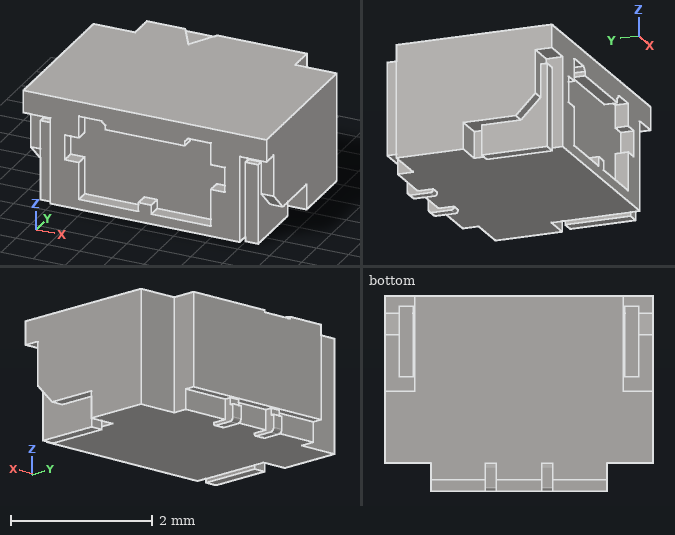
import cadquery as cq
import math


WIDTH = 3.80
HEIGHT = 1.70
TOTAL_DEPTH = 2.77
TAIL_DEPTH = 0.40
TAIL_WIDTH = 2.50
MAIN_DEPTH = TOTAL_DEPTH - TAIL_DEPTH

TAIL_STEP_DEPTH = 0.16
TAIL_STEP_HEIGHT = 0.30

MARK_X = -0.40
MARK_WIDTH = 0.50
MARK_LENGTH = MARK_WIDTH * math.sin(math.radians(60))
MARK_DEPTH = 0.03

RECESS_DEPTH = 0.20
RECESS_HALF_WIDTH = 1.03
RECESS_FLOOR = 0.16
RECESS_TOP = 1.47
EAR_HALF_WIDTH = 1.25
EAR_BOTTOM = 0.74
EAR_TOP = 1.13
LIP_HALF_WIDTH = 0.62
LIP_BOTTOM = 1.345
LIP_CHAMFER = 0.06
KEY_WIDTH = 0.20
KEY_TOP = 0.30

POCKET_INNER_X = 1.48
POCKET_TOP = 1.35
POCKET_WALL_Y = 0.25
POCKET_REAR_Y = 1.35
POCKET_LOW_TOP = 0.40
POCKET_SLOPE = 0.30

STANDOFF = 0.05

PLATE_INNER_X = 1.50
PLATE_THICKNESS = 0.20
PLATE_FRONT_Y = 0.15
PLATE_REAR_Y = 1.15
PLATE_TOP = 1.20

CONTACT_X = 0.40
CONTACT_WIDTH = 0.16
CONTACT_FRONT_Y = 2.375
CONTACT_NECK_Y = 2.72
CONTACT_SHOULDER_Z = 0.20
CONTACT_REAR_RADIUS = 0.06
CONTACT_FRONT_RADIUS = 0.045


def block(x_range, y_range, z_range):
    """Box between the given limits along each axis."""
    size = [high - low for low, high in (x_range, y_range, z_range)]
    corner = (x_range[0], y_range[0], z_range[0])
    return cq.Workplane("XY").box(*size, centered=False).translate(corner)


def side_profile(points, x_start, x_end):
    """Closed (Y, Z) outline extruded along X."""
    return cq.Workplane("YZ").workplane(offset=x_start).polyline(points).close().extrude(x_end - x_start)


def make_housing():
    """Main block with the narrower, undercut tail behind it."""
    half_width = WIDTH / 2
    half_tail = TAIL_WIDTH / 2
    main = block((-half_width, half_width), (0, MAIN_DEPTH), (0, HEIGHT))
    tail = block((-half_tail, half_tail), (MAIN_DEPTH, TOTAL_DEPTH), (0, HEIGHT))
    step = block(
        (-half_tail, half_tail),
        (TOTAL_DEPTH - TAIL_STEP_DEPTH, TOTAL_DEPTH),
        (0, TAIL_STEP_HEIGHT),
    )
    return main.union(tail).cut(step)


def make_mark():
    """Triangle at the rear edge of the top face, pointing forward."""
    points = [
        (MARK_X - MARK_WIDTH / 2, TOTAL_DEPTH),
        (MARK_X + MARK_WIDTH / 2, TOTAL_DEPTH),
        (MARK_X, TOTAL_DEPTH - MARK_LENGTH),
    ]
    return cq.Workplane("XY").workplane(offset=HEIGHT - MARK_DEPTH).polyline(points).close().extrude(MARK_DEPTH)


def make_recess():
    """Eared recess, with a key on its floor and a lip along the middle of its top."""
    right_half = [
        (KEY_WIDTH / 2, KEY_TOP),
        (KEY_WIDTH / 2, RECESS_FLOOR),
        (RECESS_HALF_WIDTH, RECESS_FLOOR),
        (RECESS_HALF_WIDTH, EAR_BOTTOM),
        (EAR_HALF_WIDTH, EAR_BOTTOM),
        (EAR_HALF_WIDTH, EAR_TOP),
        (RECESS_HALF_WIDTH, EAR_TOP),
        (RECESS_HALF_WIDTH, RECESS_TOP),
        (LIP_HALF_WIDTH + LIP_CHAMFER, RECESS_TOP),
        (LIP_HALF_WIDTH, RECESS_TOP - LIP_CHAMFER),
        (LIP_HALF_WIDTH, LIP_BOTTOM),
    ]
    left_half = [(-x, z) for x, z in reversed(right_half)]
    return cq.Workplane("XZ").polyline(right_half + left_half).close().extrude(-RECESS_DEPTH)


def make_pocket():
    """Pocket on the +X side, open to the front, the side and the underside."""
    points = [
        (0, 0),
        (0, POCKET_TOP),
        (POCKET_WALL_Y, POCKET_TOP),
        (POCKET_WALL_Y, POCKET_LOW_TOP + POCKET_SLOPE),
        (POCKET_WALL_Y + POCKET_SLOPE, POCKET_LOW_TOP),
        (POCKET_REAR_Y, POCKET_LOW_TOP),
        (POCKET_REAR_Y, 0),
    ]
    return side_profile(points, POCKET_INNER_X, WIDTH / 2)


def make_plate():
    """Anchor plate on the +X side, lying against the pocket wall, slope and ceiling."""
    points = [
        (PLATE_FRONT_Y, -STANDOFF),
        (PLATE_FRONT_Y, PLATE_TOP),
        (POCKET_WALL_Y, PLATE_TOP),
        (POCKET_WALL_Y, POCKET_LOW_TOP + POCKET_SLOPE),
        (POCKET_WALL_Y + POCKET_SLOPE, POCKET_LOW_TOP),
        (PLATE_REAR_Y, POCKET_LOW_TOP),
        (PLATE_REAR_Y, -STANDOFF),
    ]
    return side_profile(points, PLATE_INNER_X, PLATE_INNER_X + PLATE_THICKNESS)


def make_contact(center_x):
    """Contact foot: a rounded pad below the tail with a neck rising into the tail step."""
    x_range = (center_x - CONTACT_WIDTH / 2, center_x + CONTACT_WIDTH / 2)
    foot = block(x_range, (CONTACT_FRONT_Y, TOTAL_DEPTH), (-STANDOFF, CONTACT_SHOULDER_Z))
    foot = foot.edges("|X and >Y and <Z").fillet(CONTACT_REAR_RADIUS)
    foot = foot.edges("|X and <Y and <Z").fillet(CONTACT_FRONT_RADIUS)
    neck = block(x_range, (CONTACT_FRONT_Y, CONTACT_NECK_Y), (CONTACT_SHOULDER_Z, TAIL_STEP_HEIGHT))
    return foot.union(neck)


result = make_housing().cut(make_mark()).cut(make_recess())

pocket = make_pocket()
result = result.cut(pocket).cut(pocket.mirror("YZ"))

plate = make_plate()
result = result.union(plate).union(plate.mirror("YZ"))

for contact_x in (-CONTACT_X, CONTACT_X):
    result = result.union(make_contact(contact_x))